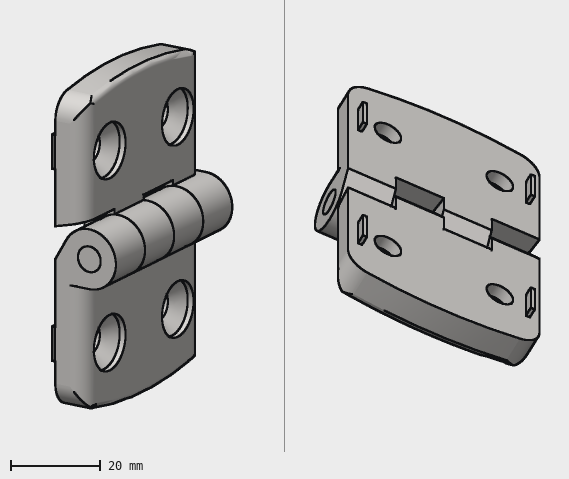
import cadquery as cq
import math

LENGTH = 77.0
WIDTH = 48.0
THICKNESS = 8.0

CORNER_RADIUS = 6.0
END_ARC_RADIUS = 100.1
SIDE_FILLET = 4.0
END_FILLET = 1.5

AXIS_X = 9.0
BARREL_RADIUS = 7.0
PIN_DIAMETER = 6.0
FLANK_ANGLE = 60.0
KNUCKLE_COUNT = 4
KNUCKLE_WIDTH = WIDTH / KNUCKLE_COUNT

NOTCH_START = 6.1
NOTCH_ANGLE = 15.0

HOLE_DIAMETER = 6.6
HEAD_DIAMETER = 13.0
HEAD_RECESS = 1.55
HOLE_Y = 14.0
HOLE_Z = 22.5

TAB_Y = 21.0
TAB_WIDTH = 1.0
TAB_HEIGHT = 8.1
TAB_DEPTH = 2.4

HALF_LENGTH = LENGTH / 2
HALF_WIDTH = WIDTH / 2


def make_plate():
    """Upper leaf plate: bowed end, rounded corners, rounded front edges."""
    shoulder_z = HALF_LENGTH - END_ARC_RADIUS + math.sqrt(END_ARC_RADIUS**2 - HALF_WIDTH**2)
    bowed = (
        cq.Workplane("YZ")
        .moveTo(-HALF_WIDTH, NOTCH_START)
        .lineTo(HALF_WIDTH, NOTCH_START)
        .lineTo(HALF_WIDTH, shoulder_z)
        .threePointArc((0, HALF_LENGTH), (-HALF_WIDTH, shoulder_z))
        .close()
        .extrude(THICKNESS)
    )
    rounded_corners = bowed.faces(">Z").edges("|X").fillet(CORNER_RADIUS)
    end_edge = cq.selectors.NearestToPointSelector((THICKNESS, 0, HALF_LENGTH))
    rounded_end = bowed.edges(end_edge).fillet(END_FILLET)
    rounded_sides = (
        cq.Workplane("XY")
        .box(THICKNESS, WIDTH, LENGTH, centered=(False, True, True))
        .edges(">X and |Z")
        .fillet(SIDE_FILLET)
    )
    return rounded_corners.intersect(rounded_end).intersect(rounded_sides)


def make_knuckle(start_y):
    """Barrel segment of the upper leaf, from start_y towards +Y."""
    flank = math.radians(FLANK_ANGLE)
    touch_x = AXIS_X - BARREL_RADIUS * math.sin(flank)
    touch_z = -BARREL_RADIUS * math.cos(flank)
    flank_top_z = touch_z + touch_x * math.tan(flank)
    return (
        cq.Workplane("XZ", origin=(0, start_y, 0))
        .moveTo(0, BARREL_RADIUS)
        .lineTo(0, flank_top_z)
        .lineTo(touch_x, touch_z)
        .threePointArc((AXIS_X, -BARREL_RADIUS), (AXIS_X + BARREL_RADIUS, 0))
        .threePointArc(
            (AXIS_X + BARREL_RADIUS * math.sqrt(0.5), BARREL_RADIUS * math.sqrt(0.5)),
            (AXIS_X, BARREL_RADIUS),
        )
        .close()
        .extrude(-KNUCKLE_WIDTH)
    )


def make_notch(start_y):
    """Cutter that clears the mating knuckle, from start_y towards +Y."""
    front_z = NOTCH_START + THICKNESS * math.tan(math.radians(NOTCH_ANGLE))
    return (
        cq.Workplane("XZ", origin=(0, start_y, 0))
        .polyline([(0, 0), (THICKNESS, 0), (THICKNESS, front_z), (0, NOTCH_START)])
        .close()
        .extrude(-KNUCKLE_WIDTH)
    )


def make_screw_hole(centre_y):
    """Cutter for one through hole with a recessed countersink in the front face."""
    shank_radius = HOLE_DIAMETER / 2
    head_radius = HEAD_DIAMETER / 2
    cone_end_x = THICKNESS - HEAD_RECESS
    cone_start_x = cone_end_x - (head_radius - shank_radius)
    return (
        cq.Workplane("XY", origin=(0, centre_y, HOLE_Z))
        .moveTo(0, 0)
        .lineTo(0, shank_radius)
        .lineTo(cone_start_x, shank_radius)
        .lineTo(cone_end_x, head_radius)
        .lineTo(THICKNESS, head_radius)
        .lineTo(THICKNESS, 0)
        .close()
        .revolve(360, (0, 0, 0), (1, 0, 0))
    )


def make_tabs():
    """Two thin tabs standing out from the back face."""
    return (
        cq.Workplane("YZ")
        .pushPoints([(-TAB_Y, HOLE_Z), (TAB_Y, HOLE_Z)])
        .rect(TAB_WIDTH, TAB_HEIGHT)
        .extrude(-TAB_DEPTH)
    )


def make_pin():
    """Hinge pin, flush with both ends of the barrel."""
    return (
        cq.Workplane("XZ", origin=(AXIS_X, -HALF_WIDTH, 0))
        .circle(PIN_DIAMETER / 2)
        .extrude(-WIDTH)
    )


def make_leaf():
    """Upper leaf, with its knuckles in the second and fourth places along +Y."""
    leaf = make_plate()
    for place in range(KNUCKLE_COUNT):
        start_y = -HALF_WIDTH + place * KNUCKLE_WIDTH
        if place % 2 == 1:
            leaf = leaf.union(make_knuckle(start_y))
        else:
            leaf = leaf.cut(make_notch(start_y))
    for centre_y in (-HOLE_Y, HOLE_Y):
        leaf = leaf.cut(make_screw_hole(centre_y))
    return leaf.union(make_tabs()).cut(make_pin())


upper_leaf = make_leaf()
lower_leaf = make_leaf().rotate((0, 0, 0), (1, 0, 0), 180)
pin = make_pin()

result = cq.Compound.makeCompound([upper_leaf.val(), lower_leaf.val(), pin.val()])